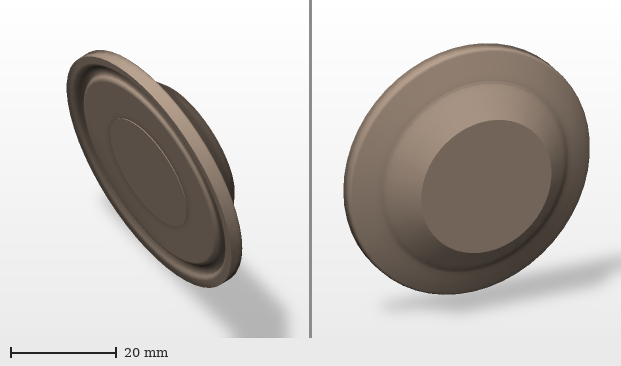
import cadquery as cq
import math

outer_radius = 25.25
total_depth = 10.05

pad_radius = 23.5 / 2
pad_height = 0.15

rim_back = 2.4
shoulder_radius = 24.75
shoulder_y = 3.1
rim_round_middle = (25.1, 2.85)
kink_radius = 19.3
kink_y = 5.1
back_radius = 13.65
kink_fillet = 1.5

groove_inner_radius = 19.7
groove_outer_radius = 23.75
lip_radius = 0.95
groove_wall_angle = 60.0
groove_wall_length = 0.3


def make_body():
    """Turned disc with a rim, a shallow cone and a steep cone."""
    profile = (
        cq.Workplane("XY")
        .moveTo(0, pad_height)
        .lineTo(outer_radius, pad_height)
        .lineTo(outer_radius, rim_back)
        .threePointArc(rim_round_middle, (shoulder_radius, shoulder_y))
        .lineTo(kink_radius, kink_y)
        .lineTo(back_radius, total_depth)
        .lineTo(0, total_depth)
        .close()
    )
    body = profile.revolve(360, (0, 0, 0), (0, 1, 0))
    kink_edges = body.edges("%CIRCLE").filter(
        lambda edge: math.isclose(edge.Center().y, kink_y, abs_tol=0.005)
    )
    return kink_edges.fillet(kink_fillet)


def make_groove():
    """Ring whose section runs tangentially lip - wall - floor - wall - lip."""
    middle = (groove_inner_radius + groove_outer_radius) / 2
    half_width = (groove_outer_radius - groove_inner_radius) / 2
    turn = math.radians(groove_wall_angle)
    lip_reach = lip_radius * math.sin(turn)
    lip_y = pad_height + lip_radius * (1 - math.cos(turn))
    half_lip_reach = lip_radius * math.sin(turn / 2)
    half_lip_y = pad_height + lip_radius * (1 - math.cos(turn / 2))
    wall_end_reach = lip_reach + groove_wall_length * math.cos(turn)
    wall_end_y = lip_y + groove_wall_length * math.sin(turn)
    floor_radius = (half_width - wall_end_reach) / math.sin(turn)
    floor_y = wall_end_y + floor_radius * (1 - math.cos(turn))
    section = (
        cq.Workplane("XY")
        .moveTo(groove_inner_radius, pad_height)
        .threePointArc(
            (groove_inner_radius + half_lip_reach, half_lip_y),
            (groove_inner_radius + lip_reach, lip_y),
        )
        .lineTo(groove_inner_radius + wall_end_reach, wall_end_y)
        .threePointArc(
            (middle, floor_y),
            (groove_outer_radius - wall_end_reach, wall_end_y),
        )
        .lineTo(groove_outer_radius - lip_reach, lip_y)
        .threePointArc(
            (groove_outer_radius - half_lip_reach, half_lip_y),
            (groove_outer_radius, pad_height),
        )
        .close()
    )
    return section.revolve(360, (0, 0, 0), (0, 1, 0))


def make_pad():
    """Thin raised disc on the front face."""
    return cq.Workplane("XZ").circle(pad_radius).extrude(-pad_height)


result = make_body().cut(make_groove()).union(make_pad())